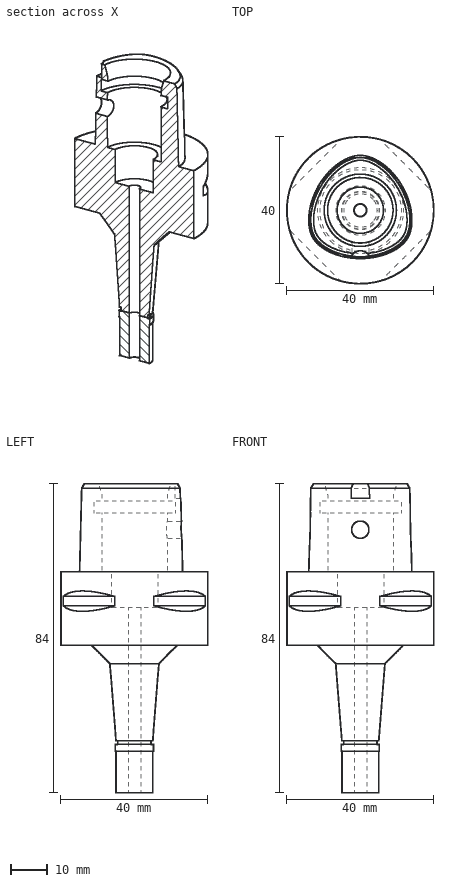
import cadquery as cq
import math

TOTAL_HEIGHT = 84.0
SHANK_HEIGHT = 23.9
FLANGE_HEIGHT = 20.0
FLANGE_TOP = TOTAL_HEIGHT - SHANK_HEIGHT
FLANGE_BOTTOM = FLANGE_TOP - FLANGE_HEIGHT
NECK_TOP = 35.1
NECK_BOTTOM = 14.1
COLLAR_TOP = 13.2
COLLAR_BOTTOM = 11.3

FLANGE_RADIUS = 20.0
CONE_RADIUS = 11.7
NECK_TOP_RADIUS = 6.7
NECK_BOTTOM_RADIUS = 5.0
GROOVE_RADIUS = 4.5
COLLAR_RADIUS = 5.2
NOSE_RADIUS = 5.0

SHANK_RADIUS = 14.0
LOBE_RISE = 0.88
LOBE_COUNT = 3
SHANK_TAPER = 1 / 40
CHAMFER_HEIGHT = 1.3
CHAMFER_WIDTH = 0.75
OUTLINE_POINTS = 48

MOUTH_RADIUS = 9.8
BORE_RADIUS = 8.9
MOUTH_DEPTH = 3.0
UNDERCUT_RADIUS = 11.1
UNDERCUT_START = 4.6
UNDERCUT_END = 7.9
INNER_BORE_RADIUS = 6.3
INNER_BORE_DEPTH = 9.7
THROUGH_RADIUS = 1.7

NOTCH_RADIUS = 2.85
NOTCH_CENTER_Y = -13.9
NOTCH_DEPTH = 3.95
CROSS_HOLE_RADIUS = 2.35
CROSS_HOLE_Z = 71.5

SLOT_COUNT = 4
SLOT_START_ANGLE = 45.0
SLOT_FLOOR_DISTANCE = 17.4
SLOT_FLOOR_HALF = 1.3
SLOT_MOUTH_HALF = 2.8
SLOT_Z = 52.1


def lobed_outline(radius):
    """Closed curve whose tangent lies radius + LOBE_RISE * cos(3 * angle) from the axis."""
    points = []
    for i in range(OUTLINE_POINTS):
        angle = 2 * math.pi * i / OUTLINE_POINTS
        reach = radius + LOBE_RISE * math.cos(LOBE_COUNT * angle)
        slope = -LOBE_COUNT * LOBE_RISE * math.sin(LOBE_COUNT * angle)
        direction = angle + math.pi / 2
        points.append((
            reach * math.cos(direction) - slope * math.sin(direction),
            reach * math.sin(direction) + slope * math.cos(direction),
        ))
    return points


def lobed_frustum(bottom, height, bottom_radius, top_radius):
    return (
        cq.Workplane("XY", origin=(0, 0, bottom))
        .spline(lobed_outline(bottom_radius), periodic=True).close()
        .workplane(offset=height)
        .spline(lobed_outline(top_radius), periodic=True).close()
        .loft(ruled=True)
    )


def revolve_profile(points):
    """Turn (radius, height) points about the Z axis."""
    return cq.Workplane("XZ").polyline(points).close().revolve(360, (0, 0, 0), (0, 1, 0))


def shank():
    taper_height = SHANK_HEIGHT - CHAMFER_HEIGHT
    upper_radius = SHANK_RADIUS - SHANK_TAPER * taper_height
    lower = lobed_frustum(FLANGE_TOP, taper_height, SHANK_RADIUS, upper_radius)
    chamfer = lobed_frustum(
        TOTAL_HEIGHT - CHAMFER_HEIGHT, CHAMFER_HEIGHT, upper_radius, upper_radius - CHAMFER_WIDTH
    )
    return lower.union(chamfer)


def flange_and_neck():
    return revolve_profile([
        (0, FLANGE_TOP),
        (FLANGE_RADIUS, FLANGE_TOP),
        (FLANGE_RADIUS, FLANGE_BOTTOM),
        (CONE_RADIUS, FLANGE_BOTTOM),
        (NECK_TOP_RADIUS, NECK_TOP),
        (NECK_BOTTOM_RADIUS, NECK_BOTTOM),
        (GROOVE_RADIUS, NECK_BOTTOM),
        (GROOVE_RADIUS, COLLAR_TOP),
        (0, COLLAR_TOP),
    ])


def bore():
    """Tapered mouth, undercut, two stepped bores and the axial through hole."""
    inner_bottom = FLANGE_TOP - INNER_BORE_DEPTH
    return revolve_profile([
        (0, TOTAL_HEIGHT),
        (MOUTH_RADIUS, TOTAL_HEIGHT),
        (BORE_RADIUS, TOTAL_HEIGHT - MOUTH_DEPTH),
        (BORE_RADIUS, TOTAL_HEIGHT - UNDERCUT_START),
        (UNDERCUT_RADIUS, TOTAL_HEIGHT - UNDERCUT_START),
        (UNDERCUT_RADIUS, TOTAL_HEIGHT - UNDERCUT_END),
        (BORE_RADIUS, TOTAL_HEIGHT - UNDERCUT_END),
        (BORE_RADIUS, FLANGE_TOP),
        (INNER_BORE_RADIUS, FLANGE_TOP),
        (INNER_BORE_RADIUS, inner_bottom),
        (THROUGH_RADIUS, inner_bottom),
        (THROUGH_RADIUS, COLLAR_TOP),
        (0, COLLAR_TOP),
    ])


def key_notch():
    return (
        cq.Workplane("XY", origin=(0, NOTCH_CENTER_Y, TOTAL_HEIGHT))
        .circle(NOTCH_RADIUS).extrude(-NOTCH_DEPTH)
    )


def cross_hole():
    """Radial hole from the bore out through the -Y wall."""
    return (
        cq.Workplane("XZ", origin=(0, 0, CROSS_HOLE_Z))
        .circle(CROSS_HOLE_RADIUS).extrude(FLANGE_RADIUS)
    )


def gripper_slot(angle):
    """Trapezoidal groove cut straight across one side of the flange."""
    return (
        cq.Workplane("XZ", origin=(0, 0, SLOT_Z))
        .polyline([
            (SLOT_FLOOR_DISTANCE, -SLOT_FLOOR_HALF),
            (FLANGE_RADIUS, -SLOT_MOUTH_HALF),
            (FLANGE_RADIUS, SLOT_MOUTH_HALF),
            (SLOT_FLOOR_DISTANCE, SLOT_FLOOR_HALF),
        ])
        .close()
        .extrude(FLANGE_RADIUS, both=True)
        .rotate((0, 0, 0), (0, 0, 1), angle)
    )


def make_holder():
    holder = shank().union(flange_and_neck()).cut(bore()).cut(key_notch()).cut(cross_hole())
    for i in range(SLOT_COUNT):
        holder = holder.cut(gripper_slot(SLOT_START_ANGLE + i * 360 / SLOT_COUNT))
    return holder


def make_nose():
    """Collared sleeve seated against the lower end of the holder."""
    return revolve_profile([
        (THROUGH_RADIUS, 0),
        (NOSE_RADIUS, 0),
        (NOSE_RADIUS, COLLAR_BOTTOM),
        (COLLAR_RADIUS, COLLAR_BOTTOM),
        (COLLAR_RADIUS, COLLAR_TOP),
        (THROUGH_RADIUS, COLLAR_TOP),
    ])


holder = make_holder()
nose = make_nose()
result = cq.Compound.makeCompound([holder.solids().val(), nose.val()])